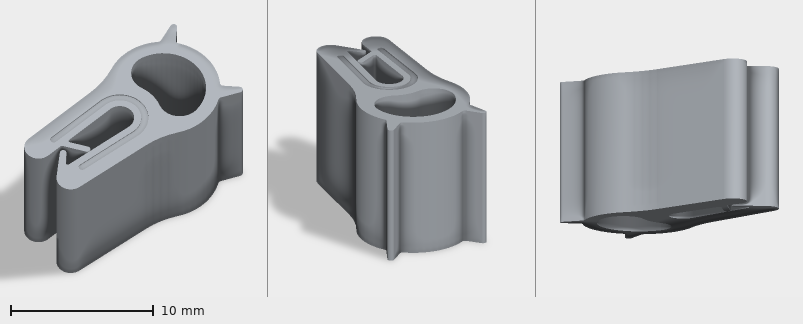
import cadquery as cq
import math

length = 15.2
height = 10.0
wall = 1.0
head_radius = 4.0
head_y = 10.99

slot_radius = 1.0
slot_y = 6.99
leg_tilt = math.radians(2.5)
leg_end_radius = 1.0
blend_end_y = 9.2

core_inner_radius = 1.5
core_outer_radius = 2.0
core_end_y = 2.23
core_depth = 0.09

lobe_radius = 1.5
lobe_y = 11.25
bump_radius = 3.0

fin_tip_radius = 0.25
fin_tip_x = 3.55
fin_base_radius = 0.79
fin_base_x = 2.05
fin_base_y = 12.68
fin_root_radius = 0.23

lip_tip_radius = 0.23
upper_lip_tip = (0.6, 3.48)
upper_lip_base = (-1.14, 2.35)
lower_lip_tip = (-0.26, 2.0)
lower_lip_base_radius = 0.3
lip_root_radius = 0.12


def along_leg(offset, y):
    """Point at height y on the left leg line lying at an offset from the slot centre."""
    run = (slot_y - y - offset * math.sin(leg_tilt)) / math.cos(leg_tilt)
    return (-offset * math.cos(leg_tilt) + run * math.sin(leg_tilt), y)


def leg_start(offset):
    """Point where a left leg line touches the circle about the slot centre."""
    return (-offset * math.cos(leg_tilt), slot_y - offset * math.sin(leg_tilt))


def mirrored(point):
    return (-point[0], point[1])


def polar(center, radius, angle):
    return (center[0] + radius * math.cos(angle), center[1] + radius * math.sin(angle))


def tapered_bar(tip, tip_radius, base, base_radius):
    """Prism around two circles joined by their outer tangents."""
    axis = math.atan2(tip[1] - base[1], tip[0] - base[0])
    side = math.acos((base_radius - tip_radius) / math.dist(tip, base))
    return (
        cq.Workplane("XY")
        .moveTo(*polar(base, base_radius, axis - side))
        .lineTo(*polar(tip, tip_radius, axis - side))
        .threePointArc(polar(tip, tip_radius, axis), polar(tip, tip_radius, axis + side))
        .lineTo(*polar(base, base_radius, axis + side))
        .threePointArc(
            polar(base, base_radius, axis + math.pi),
            polar(base, base_radius, axis - side),
        )
        .close()
        .extrude(height)
    )


leg_outer_offset = slot_radius + 2 * leg_end_radius
leg_end = along_leg(slot_radius + leg_end_radius, leg_end_radius)
leg_end_outer = polar(leg_end, leg_end_radius, math.pi + leg_tilt)
leg_end_inner = polar(leg_end, leg_end_radius, leg_tilt)
leg_end_tip = polar(leg_end, leg_end_radius, leg_tilt - math.pi / 2)


def make_body():
    slot_side = leg_start(slot_radius)
    neck = leg_start(leg_outer_offset)
    head_side = (-math.sqrt(head_radius**2 - (head_y - blend_end_y) ** 2), blend_end_y)
    leg_up = (-math.sin(leg_tilt), math.cos(leg_tilt))
    chord = (head_side[0] - neck[0], head_side[1] - neck[1])
    normal = (-leg_up[1], leg_up[0])
    blend_radius = math.hypot(*chord) ** 2 / (2 * (chord[0] * normal[0] + chord[1] * normal[1]))
    blend_center = (neck[0] + blend_radius * normal[0], neck[1] + blend_radius * normal[1])
    middle_angle = math.atan2(
        (neck[1] + head_side[1]) / 2 - blend_center[1],
        (neck[0] + head_side[0]) / 2 - blend_center[0],
    )
    blend_middle = polar(blend_center, blend_radius, middle_angle)
    return (
        cq.Workplane("XY")
        .moveTo(*head_side)
        .threePointArc(blend_middle, neck)
        .lineTo(*leg_end_outer)
        .threePointArc(leg_end_tip, leg_end_inner)
        .lineTo(*slot_side)
        .threePointArc((0, slot_y + slot_radius), mirrored(slot_side))
        .lineTo(*mirrored(leg_end_inner))
        .threePointArc(mirrored(leg_end_tip), mirrored(leg_end_outer))
        .lineTo(*mirrored(neck))
        .threePointArc(mirrored(blend_middle), mirrored(head_side))
        .threePointArc((0, head_y + head_radius), head_side)
        .close()
        .extrude(height)
    )


def add_fins(body):
    for side in (-1, 1):
        body = body.union(
            tapered_bar(
                (side * fin_tip_x, length - fin_tip_radius),
                fin_tip_radius,
                (side * fin_base_x, fin_base_y),
                fin_base_radius,
            )
        )
    roots = cq.selectors.BoxSelector((-3.42, 12.92, 0), (3.42, 14.75, height))
    return body.edges("|Z").edges(roots).fillet(fin_root_radius)


def add_lips(body):
    upper_lip = tapered_bar(upper_lip_tip, lip_tip_radius, upper_lip_base, lip_tip_radius)
    end = mirrored(leg_end)
    axis = math.atan2(lower_lip_tip[1] - end[1], lower_lip_tip[0] - end[0])
    spread = math.acos((leg_end_radius - lip_tip_radius) / math.dist(lower_lip_tip, end))
    base = polar(end, leg_end_radius - lower_lip_base_radius, axis + spread)
    lower_lip = tapered_bar(lower_lip_tip, lip_tip_radius, base, lower_lip_base_radius)
    body = body.union(upper_lip).union(lower_lip)
    left_roots = cq.selectors.BoxSelector((-0.91, 1.52, 0), (-0.68, 3.35, height))
    right_root = cq.selectors.BoxSelector((0.68, 1.06, 0), (0.91, 1.98, height))
    return body.edges("|Z").edges(left_roots + right_root).fillet(lip_root_radius)


def make_opening():
    ceiling_radius = head_radius - wall
    lobe_reach = ceiling_radius - lobe_radius
    lobe = (-math.sqrt(lobe_reach**2 - (lobe_y - head_y) ** 2), lobe_y)
    bump = (0, lobe_y - math.sqrt((bump_radius + lobe_radius) ** 2 - lobe[0] ** 2))
    shoulder_angle = math.atan2(lobe[1] - head_y, lobe[0])
    shoulder = polar((0, head_y), ceiling_radius, shoulder_angle)
    floor_angle = math.atan2(bump[1] - lobe[1], bump[0] - lobe[0])
    floor = polar(lobe, lobe_radius, floor_angle)
    lobe_middle = polar(lobe, lobe_radius, (shoulder_angle + floor_angle) / 2 + math.pi)
    return (
        cq.Workplane("XY")
        .moveTo(*shoulder)
        .threePointArc(lobe_middle, floor)
        .threePointArc((0, bump[1] + bump_radius), mirrored(floor))
        .threePointArc(mirrored(lobe_middle), mirrored(shoulder))
        .threePointArc((0, head_y + ceiling_radius), shoulder)
        .close()
        .extrude(height)
    )


def make_core_recess():
    end_radius = (core_outer_radius - core_inner_radius) / 2
    end = along_leg(core_inner_radius + end_radius, core_end_y)
    end_outer = polar(end, end_radius, math.pi + leg_tilt)
    end_inner = polar(end, end_radius, leg_tilt)
    end_tip = polar(end, end_radius, leg_tilt - math.pi / 2)
    outer_start = leg_start(core_outer_radius)
    inner_start = leg_start(core_inner_radius)
    return (
        cq.Workplane("XY", origin=(0, 0, height - core_depth))
        .moveTo(*outer_start)
        .lineTo(*end_outer)
        .threePointArc(end_tip, end_inner)
        .lineTo(*inner_start)
        .threePointArc((0, slot_y + core_inner_radius), mirrored(inner_start))
        .lineTo(*mirrored(end_inner))
        .threePointArc(mirrored(end_tip), mirrored(end_outer))
        .lineTo(*mirrored(outer_start))
        .threePointArc((0, slot_y + core_outer_radius), outer_start)
        .close()
        .extrude(core_depth)
    )


clip = add_lips(add_fins(make_body()))
result = clip.cut(make_opening()).cut(make_core_recess())